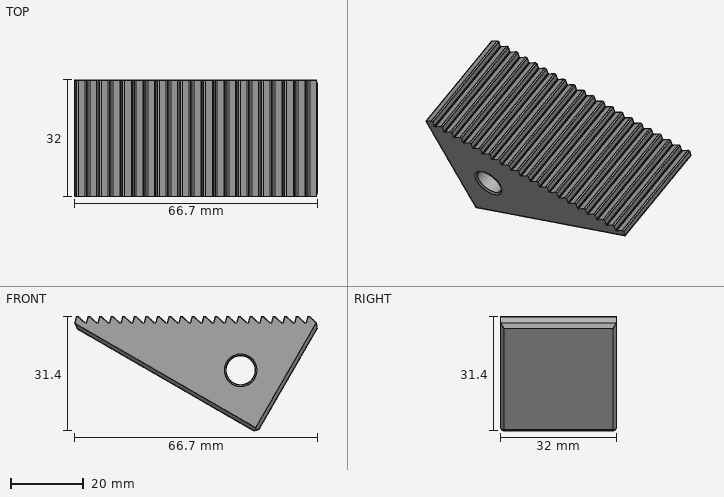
import cadquery as cq
import math

length = 66.65
width = 32.0
height = 31.4

tooth_count = 21
serrated_length = 63.6
tooth_pitch = serrated_length / (tooth_count - 1)
tooth_depth = 1.7
crest_width = 0.5
root_width = 0.3
rake_angle = 15.0
rake_run = tooth_depth * math.tan(math.radians(rake_angle))
back_run = tooth_pitch - rake_run - crest_width - root_width

slope = math.radians(30.0)
bevel = 1.0
nose_run = 0.7
heel_z = -3.2

hole_diameter = 8.0
hole_chamfer = 0.45
hole_x = 45.6
hole_z = -14.7

bottom_right_z = -height + bevel * (math.cos(slope) - math.sin(slope))
heel = (length, heel_z)
bottom_right = (length - (heel_z - bottom_right_z) * math.tan(slope), bottom_right_z)
bottom_left = (bottom_right[0] - bevel * (math.cos(slope) + math.sin(slope)), -height)
nose = (nose_run, -height + (bottom_left[0] - nose_run) * math.tan(slope))


def side_profile():
    """Closed (x, z) outline: serrated top, nose, two long faces and heel."""
    points = []
    for index in range(tooth_count):
        root_x = index * tooth_pitch
        crest_x = root_x + rake_run
        crest_end_x = crest_x + crest_width
        points += [(root_x, -tooth_depth), (crest_x, 0), (crest_end_x, 0)]
        points.append((crest_end_x + back_run, -tooth_depth))
    return points + [heel, bottom_right, bottom_left, nose]


def bevel_cutter(start, end, side):
    """Triangular bar that bevels the long edge from start to end on one side (+1 or -1 in Y)."""
    run_x = end[0] - start[0]
    run_z = end[1] - start[1]
    run = math.hypot(run_x, run_z)
    along = cq.Vector(run_x / run, 0, run_z / run)
    outward = cq.Vector(along.z, 0, -along.x)
    overrun = 2 * bevel
    origin = cq.Vector(start[0], side * width / 2, start[1]) - along * overrun
    plane = cq.Plane(origin=origin, xDir=outward, normal=along)
    side_sign = side * plane.yDir.y
    corners = [
        (-2 * bevel, side_sign * bevel),
        (bevel, -2 * side_sign * bevel),
        (bevel, side_sign * bevel),
    ]
    return cq.Workplane(plane).polyline(corners).close().extrude(run + 2 * overrun)


def countersink(side):
    """Cone that chamfers the hole mouth on one side (+1 or -1 in Y)."""
    mouth_radius = hole_diameter / 2 + hole_chamfer
    cone = cq.Solid.makeCone(
        mouth_radius,
        0,
        mouth_radius,
        cq.Vector(hole_x, side * width / 2, hole_z),
        cq.Vector(0, -side, 0),
    )
    return cq.Workplane(cone)


result = cq.Workplane("XZ").polyline(side_profile()).close().extrude(width / 2, both=True)

hole = cq.Workplane("XZ").center(hole_x, hole_z).circle(hole_diameter / 2).extrude(width, both=True)
result = result.cut(hole)

for side in (-1, 1):
    result = result.cut(bevel_cutter(nose, bottom_left, side))
    result = result.cut(bevel_cutter(bottom_right, heel, side))
    result = result.cut(countersink(side))